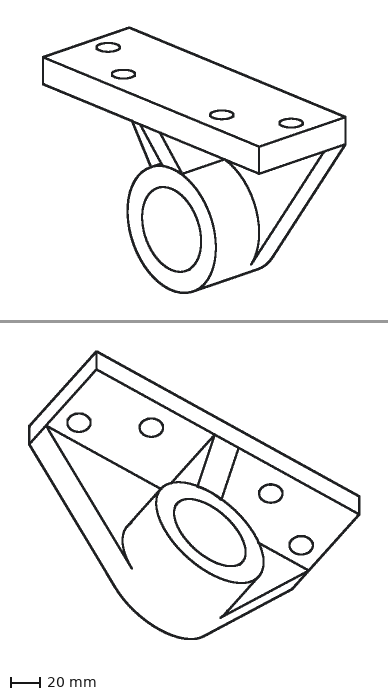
import cadquery as cq
import math

plate_length = 220.0
plate_depth = 80.0
plate_thickness = 20.0

boss_x = 109.0
boss_z = -100.0
boss_radius = 45.0
bore_radius = 30.0
boss_length = 60.0

web_thickness = 20.0
rib_width = 20.0
rib_foot_depth = 5.0

hole_diameter = 16.0
outer_hole_edge_distance = 17.0
outer_hole_setback = 35.0
inner_hole_edge_distance = 60.0
inner_hole_setback = 60.0


def tangent_point(corner_x, corner_z, side):
    """Point where the line from a corner touches the boss; side is -1 for left, 1 for right."""
    offset_x = corner_x - boss_x
    offset_z = corner_z - boss_z
    corner_angle = math.atan2(offset_z, offset_x)
    spread = math.acos(boss_radius / math.hypot(offset_x, offset_z))
    angle = corner_angle - side * spread
    return (
        boss_x + boss_radius * math.cos(angle),
        boss_z + boss_radius * math.sin(angle),
    )


def make_plate():
    return cq.Workplane("XY").box(
        plate_length, plate_depth, plate_thickness, centered=False
    ).translate((0, -plate_depth, -plate_thickness))


def make_web():
    """Tapered plate whose sides run from the plate ends tangent to the boss."""
    left_tangent = tangent_point(0, -plate_thickness, -1)
    right_tangent = tangent_point(plate_length, -plate_thickness, 1)
    return (
        cq.Workplane("XZ")
        .moveTo(0, -plate_thickness)
        .lineTo(*left_tangent)
        .threePointArc((boss_x, boss_z - boss_radius), right_tangent)
        .lineTo(plate_length, -plate_thickness)
        .close()
        .extrude(web_thickness)
    )


def make_boss():
    return cq.Workplane("XZ").center(boss_x, boss_z).circle(boss_radius).extrude(boss_length)


def make_rib():
    """Rib from the plate's front edge sloping back past the top front of the boss into the boss."""
    slope_run = plate_depth - boss_length
    slope_drop = -plate_thickness - (boss_z + boss_radius)
    foot_z = boss_z + boss_radius - rib_foot_depth
    foot_y = -boss_length + rib_foot_depth * slope_run / slope_drop
    return (
        cq.Workplane("YZ", origin=(boss_x, 0, 0))
        .moveTo(0, -plate_thickness)
        .lineTo(-plate_depth, -plate_thickness)
        .lineTo(foot_y, foot_z)
        .lineTo(0, foot_z)
        .close()
        .extrude(rib_width / 2, both=True)
    )


def make_bore():
    return cq.Workplane("XZ").center(boss_x, boss_z).circle(bore_radius).extrude(boss_length)


def make_mounting_holes():
    centres = [
        (outer_hole_edge_distance, -outer_hole_setback),
        (plate_length - outer_hole_edge_distance, -outer_hole_setback),
        (inner_hole_edge_distance, -inner_hole_setback),
        (plate_length - inner_hole_edge_distance, -inner_hole_setback),
    ]
    return cq.Workplane("XY").pushPoints(centres).circle(hole_diameter / 2).extrude(-plate_thickness)


body = make_plate().union(make_web()).union(make_boss()).union(make_rib())
result = body.cut(make_bore()).cut(make_mounting_holes())